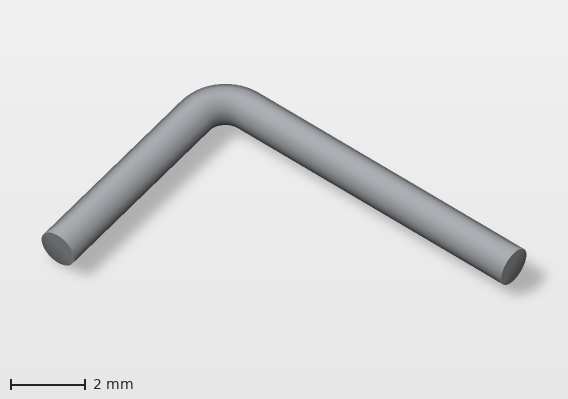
import cadquery as cq

wire_diameter = 1.1
wire_radius = wire_diameter / 2
bend_radius = 1.0
bend_angle = 90
long_leg_length = 9.0
short_leg_length = 6.0


def make_long_leg():
    """Straight leg running along +X from the end of the bend."""
    start_plane = cq.Plane(origin=(0, bend_radius, 0), xDir=(0, 0, 1), normal=(1, 0, 0))
    return cq.Workplane(start_plane).circle(wire_radius).extrude(long_leg_length)


def make_short_leg():
    """Straight leg running along -Y from the start of the bend."""
    start_plane = cq.Plane(origin=(-bend_radius, 0, 0), xDir=(0, 0, 1), normal=(0, -1, 0))
    return cq.Workplane(start_plane).circle(wire_radius).extrude(short_leg_length)


def make_elbow():
    """Quarter torus that turns the wire about Z from the short leg to the long leg."""
    axis_start = (bend_radius, 0)
    axis_end = (bend_radius, -1)
    section = cq.Workplane("XZ", origin=(-bend_radius, 0, 0)).circle(wire_radius)
    return section.revolve(bend_angle, axis_start, axis_end)


long_leg = make_long_leg()
short_leg = make_short_leg()
elbow = make_elbow()

result = cq.Compound.makeCompound([long_leg.val(), elbow.val(), short_leg.val()])